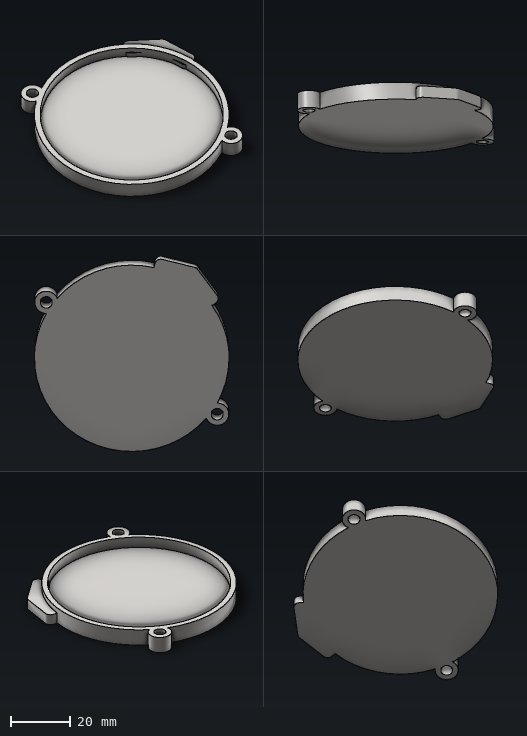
import cadquery as cq

overall_length = 78
overall_width = 71.7

outer_radius = 33.0
wall = 2.0
height = 6.0
floor = 2.0

ear_radius = 4.0
hole_diameter = 4.0
ear_offset = overall_length / 2 - ear_radius

tab_height = 4.0
tab_tip = overall_width - outer_radius
corner_radius = 2.0
rounding_spacing = 11.2
bar_length = rounding_spacing + 2 * corner_radius
bar_depth = 5.9
bar_slope = 20


def disc(radius, thickness, x=0, z=0):
    return cq.Workplane("XY").circle(radius).extrude(thickness).translate((x, 0, z))


def tab_bar(side):
    """Rounded bar sloping from the chevron tip towards side (+1 or -1) along X."""
    bar = (
        cq.Workplane("XY")
        .rect(bar_length, bar_depth)
        .extrude(tab_height)
        .edges("|Z")
        .fillet(corner_radius)
    )
    bar = bar.translate((side * rounding_spacing / 2, corner_radius - bar_depth / 2, 0))
    bar = bar.rotate((0, 0, 0), (0, 0, 1), -side * bar_slope)
    return bar.translate((0, tab_tip - corner_radius, 0))


body = disc(outer_radius, height)
body = body.cut(disc(outer_radius - wall, height - floor, z=floor))

for side in (-1, 1):
    ear_x = side * ear_offset
    body = body.union(disc(ear_radius, height, x=ear_x))
    body = body.cut(disc(hole_diameter / 2, height, x=ear_x))
    body = body.union(tab_bar(side))

result = body